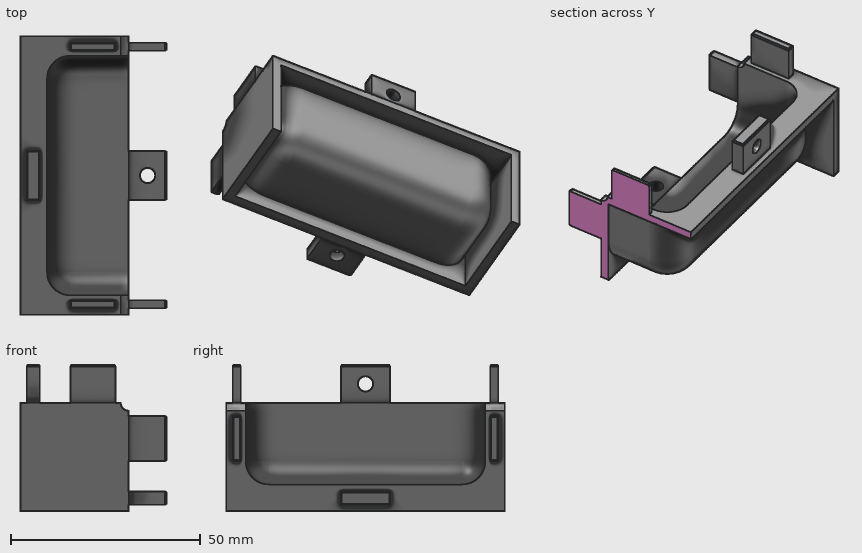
import cadquery as cq

length = 73.5
depth = 28.5
end_thickness = 2.4
flange_thickness = 2.5

trough_wall = 2.35
trough_offset = 7.0
trough_width = 63.2
trough_radius = 6.2
notch_radius = 2.05

tab_height = 10.0
tip_drop = 0.45
tip_inset = 0.3
end_tab_width = 11.9
end_tab_thickness = 2.2
end_tab_start = 13.15
end_tab_inset = 1.7
middle_tab_width = 13.0
middle_tab_thickness = 3.5
middle_tab_start = 1.6
hole_diameter = 4.0


def block(x_min, x_max, width, z_min, z_max):
    """Box centred on Y = 0 between the given X and Z limits."""
    return cq.Workplane("XY").box(
        x_max - x_min, width, z_max - z_min, centered=(False, True, False)
    ).translate((x_min, 0, z_min))


def trough_solid(growth):
    """Trough cavity grown outwards, with its closed edges rounded."""
    start = trough_offset - growth
    overrun = 2 * depth
    solid = block(start, overrun, trough_width + 2 * growth, start, overrun)
    closed_edges = solid.faces("<X or <Z").edges("not (>X or >Z)")
    return closed_edges.fillet(trough_radius + growth)


def swap_x_and_z(shape):
    """Reflect across the plane X = Z for shapes symmetric about Y = 0."""
    return shape.rotate((0, 0, 0), (1, 0, 1), 180)


def tab(size_x, size_y, x_min, y_center):
    """Tab standing on the top flange with a bevelled tip."""
    straight_height = tab_height - tip_drop
    base = cq.Workplane("XY").box(size_x, size_y, straight_height, centered=(True, True, False))
    tip = (
        base.faces(">Z").workplane().rect(size_x, size_y)
        .workplane(offset=tip_drop).rect(size_x - 2 * tip_inset, size_y - 2 * tip_inset)
        .loft(combine=True)
    )
    return tip.translate((x_min + size_x / 2, y_center, depth))


def top_tabs():
    """Two plain end tabs and a drilled middle tab."""
    hole = cq.Workplane("YZ").center(0, depth + tab_height / 2).circle(hole_diameter / 2).extrude(depth)
    tabs = tab(middle_tab_thickness, middle_tab_width, middle_tab_start, 0).cut(hole)
    end_tab_y = length / 2 - end_tab_inset - end_tab_thickness / 2
    for side in (-1, 1):
        tabs = tabs.union(tab(end_tab_width, end_tab_thickness, end_tab_start, side * end_tab_y))
    return tabs


envelope = block(0, depth, length, 0, depth)
flange_start = depth - flange_thickness
inner_length = length - 2 * end_thickness
body = envelope.cut(block(0, flange_start, inner_length, 0, flange_start))

body = body.union(trough_solid(trough_wall).intersect(envelope))
body = body.cut(trough_solid(0))

relief = (
    cq.Workplane("XZ").center(depth, depth).circle(notch_radius)
    .extrude(length / 2, both=True)
)
body = body.cut(relief)

tabs = top_tabs()
result = body.union(tabs).union(swap_x_and_z(tabs))